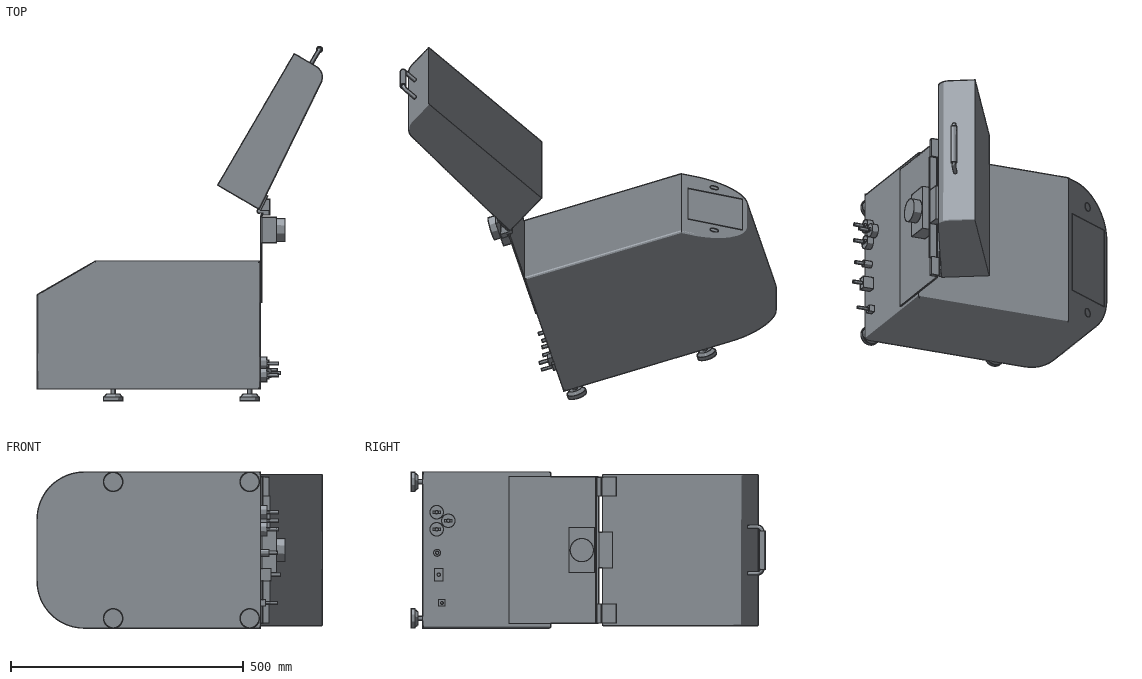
import cadquery as cq
import math

housing_length = 481.0
housing_height = 276.0
housing_width = 336.61
front_corner_radius = 102.0
slope_angle = 30.0
slope_run = 126.0
slope_normal = cq.Vector(-math.sin(math.radians(slope_angle)), math.cos(math.radians(slope_angle)), 0)
front_height = housing_height - slope_run * math.tan(math.radians(slope_angle))
housing_edge_radius = 4.5
floor_thickness = 2.0

recess_depth = 1.0
window_width = 177.0
window_length = 120.0
window_offset = -2.0
button_diameter = 19.0
button_spacing = 245.0

foot_front_x = 164.0
foot_spacing_x = 294.0
foot_spacing_z = 294.0
foot_height = 25.2
foot_stem_radius = 5.0
foot_pad_radius = 21.0
foot_pad_height = 8.0
foot_cone_height = 7.0
foot_cone_base_radius = 20.0
foot_cone_top_radius = 14.0

lower_row_y = 30.0
upper_row_y = 55.0
pin_radius = 3.5
disc_positions = [(lower_row_y, 81.6), (lower_row_y, 44.8), (upper_row_y, 63.2)]
disc_radius = 14.5
disc_length = 14.0
disc_pin_length = 25.0
tab_length = 4.5
tab_height = 16.0
tab_width = 5.0
gland_y = 31.0
gland_z = -5.8
gland_radius = 7.5
gland_length = 18.0
gland_pin_length = 19.0
plug_y = 34.5
plug_z = -53.0
plug_size = (18.0, 26.0)
plug_length = 23.0
plug_pin_length = 20.5
jack_y = 41.4
jack_z = -113.8
jack_size = (14.0, 14.0)
jack_length = 11.5
jack_pin_radius = 3.0
jack_pin_length = 25.0

plate_thickness = 3.0
plate_width = 316.0
plate_bottom = 186.0
plate_bend_y = 372.4
plate_lip_height = 4.6
lip_angle = 30.0
flange_front_x = 486.5
flange_back_x = 501.6
flange_bottom = 374.6
flange_top = 379.0

motor_box_depth = 31.5
motor_box_height = 55.0
motor_box_width = 97.0
motor_box_bottom = 315.0
knob_radius = 25.0
knob_length = 18.5

lid_angle = 59.8
lid_corner_x = 478.34
lid_corner_y = 386.8
lid_length = 328.0
lid_depth = 103.6
lid_taper = 4.1
lid_width = 326.5
lid_nose_radius = 27.3
lid_edge_radius = 3.0

grip_radius = 6.5
grip_length = 83.0
grip_standoff = 35.15
grip_y = 61.0
handle_rod_radius = 4.0
handle_post_spacing = 100.0
handle_bend_radius = 12.0

stop_width = 77.0
stop_top = 409.0
stop_back_x = flange_back_x

hinge_width = 41.0
hinge_end_gap = 1.0
hinge_span = plate_width - 2 * hinge_end_gap
hinge_offset = (hinge_span - hinge_width) / 2
flange_width = hinge_span - 2 * hinge_width
hinge_barrel_radius = 4.6
hinge_barrel_y = 383.0
hinge_back_x = 500.0
hinge_leaf_top = 384.0
lid_leaf_length = 34.0
lid_leaf_thickness = 4.0


def slab(width, points):
    """Polygon in the XY plane extruded evenly to both sides of Z = 0."""
    return cq.Workplane("XY").polyline(points).close().extrude(width / 2, both=True)


def box_between(x_range, y_range, width, z_center=0.0):
    """Box given by its X and Y limits and its width about z_center."""
    block = cq.Workplane("XY").box(x_range[1] - x_range[0], y_range[1] - y_range[0], width)
    return block.translate((sum(x_range) / 2, sum(y_range) / 2, z_center))


def rod_along_x(start, y, z, radius, length):
    """Round rod pointing back along +X."""
    return cq.Workplane("YZ", origin=(start, y, z)).circle(radius).extrude(length)


def round_top_rim(shell):
    """Round the edges round the slope, along the flat top and down both rear corners."""
    slope_face = shell.faces(cq.selectors.DirectionMinMaxSelector(slope_normal, True))
    crease = shell.faces(">Y").edges("<X")
    rim = shell.faces(">Y").edges("|X").add(slope_face.edges())
    rim = [edge for edge in rim.vals() if not edge.isSame(crease.val())]
    rim += shell.edges("|Y and >X").vals()
    return shell.newObject(rim).fillet(housing_edge_radius)


def upright_prism(bottom, height):
    """Floor outline with two round front corners, carried up from height bottom."""
    prism = cq.Workplane("XZ").rect(housing_length, housing_width).extrude(-height)
    prism = prism.edges("|Y and <X").fillet(front_corner_radius)
    return prism.translate((housing_length / 2, bottom, 0))


def make_shell():
    """Rounded box with a sloped front top, standing on a square-edged floor."""
    shell = upright_prism(floor_thickness, housing_height - floor_thickness)
    front_wedge = slab(
        2 * housing_width,
        [(0, front_height), (slope_run, housing_height), (0, housing_height)],
    )
    shell = round_top_rim(shell.cut(front_wedge))
    return shell.union(upright_prism(0, floor_thickness))


def make_foot(x, z):
    """Stem and round pad below the floor, turned about Y."""
    cone_top = foot_pad_height + foot_cone_height
    profile = [
        (0, 0),
        (foot_pad_radius, 0),
        (foot_pad_radius, foot_pad_height),
        (foot_cone_base_radius, foot_pad_height),
        (foot_cone_top_radius, cone_top),
        (foot_stem_radius, cone_top),
        (foot_stem_radius, foot_height),
        (0, foot_height),
    ]
    foot = cq.Workplane("XY").polyline(profile).close().revolve(360, (0, 0, 0), (0, 1, 0))
    return foot.translate((x, -foot_height, z))


def cut_control_panel(shell):
    """Sink a shallow window and two round buttons into the sloped face."""
    slope_center = cq.Plane(
        origin=(slope_run / 2, (front_height + housing_height) / 2, 0),
        xDir=(0, 0, 1),
        normal=slope_normal,
    )
    panel = cq.Workplane(slope_center)
    window = panel.center(0, window_offset).rect(window_width, window_length).extrude(-recess_depth)
    buttons = (
        panel.pushPoints([(-button_spacing / 2, 0), (button_spacing / 2, 0)])
        .circle(button_diameter / 2)
        .extrude(-recess_depth)
    )
    return shell.cut(window).cut(buttons)


def make_disc_connector(y, z):
    """Round socket with a flat terminal and a pin behind it."""
    disc = rod_along_x(housing_length, y, z, disc_radius, disc_length)
    disc_end = housing_length + disc_length
    tab_y_range = (y - tab_height / 2, y + tab_height / 2)
    tab = box_between((disc_end, disc_end + tab_length), tab_y_range, tab_width, z)
    pin = rod_along_x(disc_end, y, z, pin_radius, disc_pin_length)
    return disc.union(tab).union(pin)


def make_gland_connector():
    """Slim round body with a pin."""
    body = rod_along_x(housing_length, gland_y, gland_z, gland_radius, gland_length)
    pin = rod_along_x(housing_length + gland_length, gland_y, gland_z, pin_radius, gland_pin_length)
    return body.union(pin)


def make_box_connector(y, z, size, length, contact_radius, contact_length):
    """Square body with a round contact."""
    body_end = housing_length + length
    body = box_between((housing_length, body_end), (y - size[0] / 2, y + size[0] / 2), size[1], z)
    return body.union(rod_along_x(body_end, y, z, contact_radius, contact_length))


def make_housing():
    """Shell with its control panel, four feet and rear connectors."""
    housing = cut_control_panel(make_shell())
    for x in (foot_front_x, foot_front_x + foot_spacing_x):
        for z in (-foot_spacing_z / 2, foot_spacing_z / 2):
            housing = housing.union(make_foot(x, z))
    for y, z in disc_positions:
        housing = housing.union(make_disc_connector(y, z))
    housing = housing.union(make_gland_connector())
    housing = housing.union(
        make_box_connector(plug_y, plug_z, plug_size, plug_length, pin_radius, plug_pin_length)
    )
    return housing.union(
        make_box_connector(jack_y, jack_z, jack_size, jack_length, jack_pin_radius, jack_pin_length)
    )


def make_rear_plate():
    """Thin plate up the back with a bent lip, a flange, and the motor box and knob behind it."""
    front = housing_length
    back = front + plate_thickness
    lip_shift = plate_lip_height * math.tan(math.radians(lip_angle))
    bend_drop = plate_thickness * math.tan(math.radians(lip_angle / 2))
    rise = math.sin(math.radians(lip_angle)) * plate_thickness
    reach = math.cos(math.radians(lip_angle)) * plate_thickness
    lip_top = plate_bend_y + plate_lip_height
    plate = slab(
        plate_width,
        [
            (front, plate_bottom),
            (back, plate_bottom),
            (back, plate_bend_y - bend_drop),
            (front + lip_shift + reach, lip_top - rise),
            (front + lip_shift, lip_top),
            (front, plate_bend_y),
        ],
    )
    flange = box_between((flange_front_x, flange_back_x), (flange_bottom, flange_top), flange_width)
    flange_root = slab(
        flange_width,
        [
            (back, plate_bend_y),
            (flange_front_x, flange_bottom),
            (flange_front_x, flange_top),
            (front + lip_shift, lip_top),
        ],
    )
    plate = plate.union(flange_root).union(flange)
    motor_back = back + motor_box_depth
    motor_top = motor_box_bottom + motor_box_height
    motor_box = box_between((back, motor_back), (motor_box_bottom, motor_top), motor_box_width)
    knob_y = (motor_box_bottom + motor_top) / 2
    return plate.union(motor_box).union(rod_along_x(motor_back, knob_y, 0, knob_radius, knob_length))


def make_lid_shell():
    """Tapered lid, lying along X from its hinge corner."""
    nose_depth = lid_length * math.tan(math.radians(lid_taper))
    shell = slab(lid_width, [(0, 0), (lid_length, nose_depth), (lid_length, lid_depth), (0, lid_depth)])
    shell = shell.edges("|Z").edges(">X").edges("<Y").fillet(lid_nose_radius)
    side_rims = shell.faces("<Z or >Z").edges("not >Y")
    return side_rims.fillet(lid_edge_radius)


def make_handle():
    """Bent rod with a thicker grip, standing on the end of the lid."""
    half_spacing = handle_post_spacing / 2
    grip_x = lid_length + grip_standoff
    corner = handle_bend_radius * (1 - math.sqrt(0.5))
    bend_x = grip_x - handle_bend_radius
    bend_z = half_spacing - handle_bend_radius
    path = (
        cq.Workplane("XZ", origin=(0, grip_y, 0))
        .moveTo(lid_length, -half_spacing)
        .lineTo(bend_x, -half_spacing)
        .threePointArc((grip_x - corner, corner - half_spacing), (grip_x, -bend_z))
        .lineTo(grip_x, bend_z)
        .threePointArc((grip_x - corner, half_spacing - corner), (bend_x, half_spacing))
        .lineTo(lid_length, half_spacing)
    )
    rod_start = cq.Workplane("YZ", origin=(lid_length, grip_y, -half_spacing))
    rod = rod_start.circle(handle_rod_radius).sweep(path)
    grip = cq.Workplane("XY").circle(grip_radius).extrude(grip_length / 2, both=True)
    return rod.union(grip.translate((grip_x, grip_y, 0)))


def raise_lid(part):
    """Swing a part of the lid up about its hinge corner and set it in place."""
    raised = part.rotate((0, 0, 0), (0, 0, 1), lid_angle)
    return raised.translate((lid_corner_x, lid_corner_y, 0))


def lid_back_x(y):
    """X of the sloping back of the raised lid at height y."""
    return lid_corner_x + (y - lid_corner_y) / math.tan(math.radians(lid_angle + lid_taper))


def make_stop():
    """Wedge on the middle of the lid back that rests on the flange of the rear plate."""
    return slab(
        stop_width,
        [
            (lid_back_x(lid_corner_y), lid_corner_y),
            (flange_front_x, flange_top),
            (stop_back_x, flange_top),
            (stop_back_x, stop_top),
            (lid_back_x(stop_top), stop_top),
        ],
    )


def make_hinge(z_center):
    """Barrel at the lid corner, one leaf up the lid back and one filling the space beside the flange."""
    barrel = cq.Workplane("XY").circle(hinge_barrel_radius).extrude(hinge_width / 2, both=True)
    barrel = barrel.translate((lid_corner_x, hinge_barrel_y, 0))
    lid_leaf = slab(
        hinge_width,
        [(0, -lid_leaf_thickness), (lid_leaf_length, -lid_leaf_thickness), (lid_leaf_length, 0), (0, 0)],
    )
    lid_leaf = lid_leaf.rotate((0, 0, 0), (0, 0, 1), lid_angle + lid_taper)
    lid_leaf = lid_leaf.translate((lid_corner_x, lid_corner_y, 0))
    flange_leaf = box_between((lid_corner_x, hinge_back_x), (flange_top, hinge_leaf_top), hinge_width)
    block = box_between((flange_front_x, hinge_back_x), (flange_bottom, flange_top), hinge_width)
    return barrel.union(lid_leaf).union(flange_leaf).union(block).translate((0, 0, z_center))


def make_lid(hinge_bodies):
    """Raised lid with handle and stop, relieved where the hinges sit."""
    lid = raise_lid(make_lid_shell().union(make_handle())).union(make_stop())
    for hinge in hinge_bodies:
        lid = lid.cut(hinge)
    return lid


housing = make_housing()
rear_plate = make_rear_plate()
hinges = [make_hinge(z) for z in (-hinge_offset, hinge_offset)]
lid = make_lid(hinges)

result = cq.Compound.makeCompound(
    [housing.val(), rear_plate.val(), lid.val(), *[hinge.val() for hinge in hinges]]
)